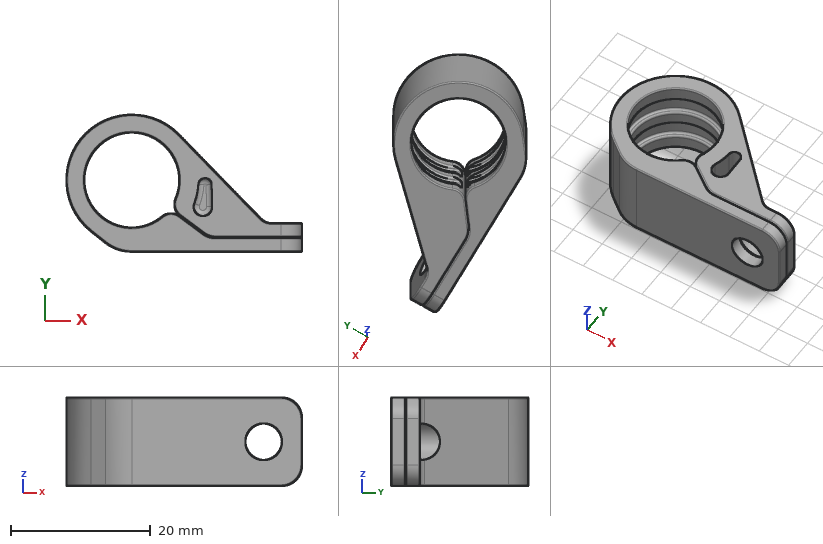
import cadquery as cq
import math

height = 12.7
total_width = 19.64
total_length = 33.74

ring_radius = 9.37
bore_radius = 6.8
heel_radius = 6.1
mount_y = ring_radius - total_width

leaf_thickness = 2.0
slit_gap = 0.1
ear_top_y = mount_y + 2 * leaf_thickness + slit_gap
ear_end_x = total_length - ring_radius
ear_corner_radius = 3.0
ear_root_radius = 2.3
flank_angle = math.radians(44.2)

slit_angle = math.radians(-36.7)
slit_y = mount_y + leaf_thickness + slit_gap / 2
slit_bend_radius = 3.0
slit_mouth_radius = 2.0

screw_diameter = 5.2
screw_end_distance = 5.5
screw_x = ear_end_x - screw_end_distance

edge_radius = 0.2

groove_depth = 0.7
groove_width = 2.75
groove_round = 0.34
land_width = 2.3

pocket_wall_radius = 9.55
pocket_small_radius = 0.95
pocket_small_angle = math.radians(-3.7)
pocket_large_radius = 1.32
pocket_large_angle = math.radians(-20.6)
pocket_floor_thickness = 2.5
pocket_floor_round = 0.8


def polar(radius, angle, center=(0.0, 0.0)):
    """Point at a radius and angle from a centre."""
    return (center[0] + radius * math.cos(angle), center[1] + radius * math.sin(angle))


def make_blank():
    """Ring, heel and ear as one solid block, before the bore and slit."""
    heel_center = (0.0, mount_y + heel_radius)
    heel_angle = math.pi + math.asin((ring_radius - heel_radius) / -heel_center[1])
    heel_middle_angle = (heel_angle + 1.5 * math.pi) / 2

    flank_start = polar(ring_radius, flank_angle)
    flank_run = (flank_start[1] - ear_top_y) * math.tan(flank_angle)
    flank_end = (flank_start[0] + flank_run, ear_top_y)

    blank = (
        cq.Workplane("XY")
        .moveTo(*flank_start)
        .threePointArc(
            polar(ring_radius, (flank_angle + heel_angle) / 2),
            polar(ring_radius, heel_angle),
        )
        .lineTo(*polar(heel_radius, heel_angle, heel_center))
        .threePointArc(polar(heel_radius, heel_middle_angle, heel_center), (0.0, mount_y))
        .lineTo(ear_end_x, mount_y)
        .lineTo(ear_end_x, ear_top_y)
        .lineTo(*flank_end)
        .close()
        .extrude(height)
    )
    root_edge = cq.selectors.NearestToPointSelector((flank_end[0], flank_end[1], height / 2))
    return blank.edges(root_edge).fillet(ear_root_radius)


def make_slit():
    """Thin bent plate that separates the two leaves and opens the ring."""
    half_gap = slit_gap / 2
    start = polar(bore_radius / 2, slit_angle)
    side = polar(half_gap, slit_angle + math.pi / 2)
    past_end_x = ear_end_x + leaf_thickness

    def bend_x(y, offset):
        """X where the oblique side, shifted across the slit by offset, reaches y."""
        return y / math.tan(slit_angle) - offset / math.sin(slit_angle)

    upper_y = slit_y + half_gap
    lower_y = slit_y - half_gap
    upper_bend = (bend_x(upper_y, half_gap), upper_y)
    lower_bend = (bend_x(lower_y, -half_gap), lower_y)
    slit = (
        cq.Workplane("XY")
        .polyline([
            (start[0] + side[0], start[1] + side[1]),
            upper_bend,
            (past_end_x, upper_y),
            (past_end_x, lower_y),
            lower_bend,
            (start[0] - side[0], start[1] - side[1]),
        ])
        .close()
        .extrude(height)
    )
    for bend, radius in (
        (upper_bend, slit_bend_radius - half_gap),
        (lower_bend, slit_bend_radius + half_gap),
    ):
        bend_edge = cq.selectors.NearestToPointSelector((bend[0], bend[1], height / 2))
        slit = slit.edges(bend_edge).fillet(radius)
    return slit


def round_corners(body):
    """Round the slit mouth and the ear corners, then break all outer edges."""
    mouth = polar(bore_radius, slit_angle)
    reach = slit_mouth_radius / 4
    mouth_box = cq.selectors.BoxSelector(
        (mouth[0] - reach, mouth[1] - reach, 0), (mouth[0] + reach, mouth[1] + reach, height)
    )
    body = body.edges("|Z").edges(mouth_box).fillet(slit_mouth_radius)
    body = body.faces(">X").edges("|Y").fillet(ear_corner_radius)
    rims = body.faces("<Z or >Z").edges("not |Y")
    ear_end = body.faces(">X").edges("|Z")
    return body.newObject(rims.vals() + ear_end.vals()).fillet(edge_radius)


def cut_grooves(body):
    """Cut the two rounded ring grooves, mirrored about mid height."""
    outer = bore_radius + groove_depth
    for side in (-1, 1):
        middle = height / 2 + side * (land_width + groove_width) / 2
        low = middle - groove_width / 2
        high = middle + groove_width / 2
        r = groove_round
        groove = (
            cq.Workplane("XZ")
            .moveTo(0, low - r)
            .lineTo(bore_radius, low - r)
            .radiusArc((bore_radius + r, low), r)
            .lineTo(outer - r, low)
            .radiusArc((outer, low + r), -r)
            .lineTo(outer, high - r)
            .radiusArc((outer - r, high), -r)
            .lineTo(bore_radius + r, high)
            .radiusArc((bore_radius, high + r), r)
            .lineTo(0, high + r)
            .close()
            .revolve(360, (0, 0, 0), (0, 1, 0))
        )
        body = body.cut(groove)
    return body


def make_screw_hole():
    """Cylinder along Y through both leaves and the foot of the flank."""
    return (
        cq.Workplane("XZ", origin=(screw_x, 0, height / 2))
        .circle(screw_diameter / 2)
        .extrude(-mount_y)
    )


def make_pocket():
    """Blind pocket with two round ends and a rounded floor."""
    small = polar(pocket_wall_radius + pocket_small_radius, pocket_small_angle)
    large = polar(pocket_wall_radius + pocket_large_radius, pocket_large_angle)
    distance = math.dist(small, large)
    axis_angle = math.atan2(small[1] - large[1], small[0] - large[0])
    taper = math.asin((pocket_large_radius - pocket_small_radius) / distance)
    tangent_angle = axis_angle - math.pi / 2 + taper
    wall_middle_angle = (pocket_small_angle + pocket_large_angle) / 2
    small_middle_angle = (tangent_angle + pocket_small_angle + math.pi) / 2
    large_middle_angle = (tangent_angle + pocket_large_angle - math.pi) / 2
    return (
        cq.Workplane("XY", origin=(0, 0, pocket_floor_thickness))
        .moveTo(*polar(pocket_wall_radius, pocket_large_angle))
        .threePointArc(
            polar(pocket_wall_radius, wall_middle_angle),
            polar(pocket_wall_radius, pocket_small_angle),
        )
        .threePointArc(
            polar(pocket_small_radius, small_middle_angle, small),
            polar(pocket_small_radius, tangent_angle, small),
        )
        .lineTo(*polar(pocket_large_radius, tangent_angle, large))
        .threePointArc(
            polar(pocket_large_radius, large_middle_angle, large),
            polar(pocket_wall_radius, pocket_large_angle),
        )
        .close()
        .extrude(height - pocket_floor_thickness)
        .faces("<Z")
        .edges()
        .fillet(pocket_floor_round)
    )


bore = cq.Workplane("XY").circle(bore_radius).extrude(height)
clamp = make_blank().cut(bore).cut(make_slit())
clamp = round_corners(clamp)
clamp = cut_grooves(clamp)
result = clamp.cut(make_screw_hole()).cut(make_pocket())